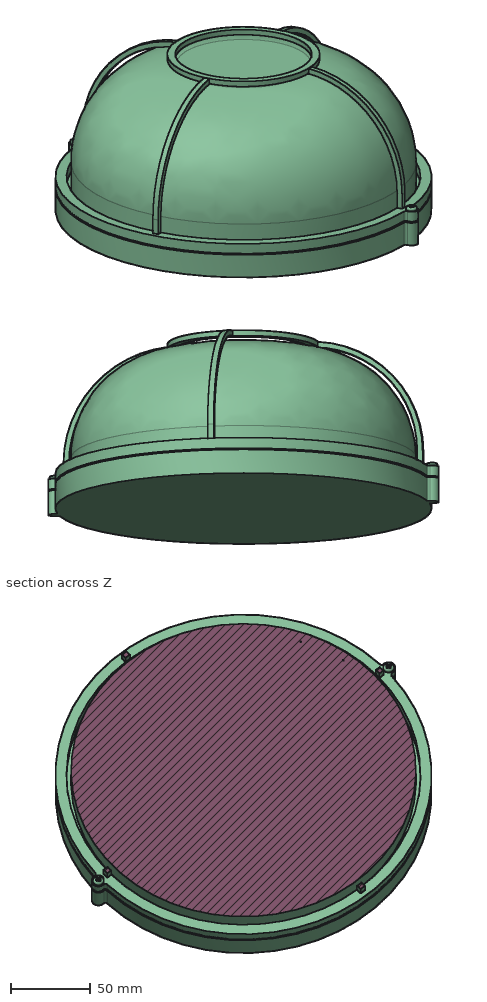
import cadquery as cq
import math

base_radius = 118.5
base_height = 22.8
seam_bottom = 15.2
seam_height = 0.8
seam_depth = 0.8
rim_opening_radius = 111.5
rim_opening_depth = base_height - seam_bottom - seam_height

glass_radius = 108.8
glass_skirt_top = 32.5
glass_arc_radius = 66.5
arc_center_radius = glass_radius - glass_arc_radius

rib_thickness = 3.5
rib_width = 3.8
guard_top = 105.2
rib_outer_arc = guard_top - glass_skirt_top
rib_inner_arc = rib_outer_arc - rib_thickness
ring_inner_radius = 43.0
ring_outer_radius = 48.0
rib_count = 4

overall_length = 250.0
lug_radius = 4.2
lug_center = overall_length / 2 - lug_radius
lug_blend_radius = 1.5
screw_head_radius = 3.5
screw_head_height = 2.2
screw_head_round = 1.5
cross_slot_length = 3.2
cross_slot_width = 1.0
cross_slot_depth = 1.0


def disc(radius, bottom, height):
    return cq.Workplane("XY").workplane(offset=bottom).circle(radius).extrude(height)


def lug_outline(inset):
    """Base circle with two lugs, each blended in by concave arcs, shrunk by inset."""
    body_radius = base_radius - inset
    tip_radius = lug_radius - inset
    blend_radius = lug_blend_radius + inset
    to_body = body_radius + blend_radius
    to_lug = tip_radius + blend_radius
    blend_x = (to_body**2 - to_lug**2 + lug_center**2) / (2 * lug_center)
    blend_y = math.sqrt(to_body**2 - blend_x**2)
    body_x = blend_x * body_radius / to_body
    body_y = blend_y * body_radius / to_body
    lug_x = lug_center + (blend_x - lug_center) * tip_radius / to_lug
    lug_y = blend_y * tip_radius / to_lug
    aim_x = (body_x + lug_x) / 2 - blend_x
    aim_y = (body_y + lug_y) / 2 - blend_y
    aim_length = math.hypot(aim_x, aim_y)
    mid_x = blend_x + aim_x * blend_radius / aim_length
    mid_y = blend_y + aim_y * blend_radius / aim_length
    tip_x = lug_center + tip_radius
    return (
        cq.Workplane("XY")
        .moveTo(body_x, -body_y)
        .threePointArc((mid_x, -mid_y), (lug_x, -lug_y))
        .threePointArc((tip_x, 0), (lug_x, lug_y))
        .threePointArc((mid_x, mid_y), (body_x, body_y))
        .threePointArc((0, body_radius), (-body_x, body_y))
        .threePointArc((-mid_x, mid_y), (-lug_x, lug_y))
        .threePointArc((-tip_x, 0), (-lug_x, -lug_y))
        .threePointArc((-mid_x, -mid_y), (-body_x, -body_y))
        .threePointArc((0, -body_radius), (body_x, -body_y))
        .close()
    )


def make_base():
    core = lug_outline(seam_depth).extrude(base_height)
    outer = lug_outline(0).extrude(base_height)
    seam = disc(overall_length, seam_bottom, seam_height).cut(core)
    opening = disc(rim_opening_radius, base_height - rim_opening_depth, rim_opening_depth)
    return outer.cut(seam).cut(opening)


def make_glass():
    arc_mid = glass_arc_radius * math.sqrt(0.5)
    return (
        cq.Workplane("XZ")
        .lineTo(glass_radius, 0)
        .lineTo(glass_radius, glass_skirt_top)
        .threePointArc(
            (arc_center_radius + arc_mid, glass_skirt_top + arc_mid),
            (arc_center_radius, glass_skirt_top + glass_arc_radius),
        )
        .lineTo(0, glass_skirt_top + glass_arc_radius)
        .close()
        .revolve(360, (0, 0), (0, 1))
    )


def make_rib():
    outer_mid = rib_outer_arc * math.sqrt(0.5)
    inner_mid = rib_inner_arc * math.sqrt(0.5)
    rib_inner = arc_center_radius + rib_inner_arc
    rib_outer = arc_center_radius + rib_outer_arc
    ring_overlap_radius = (ring_inner_radius + ring_outer_radius) / 2
    profile = (
        cq.Workplane("XZ")
        .moveTo(rib_inner, base_height)
        .lineTo(rib_outer, base_height)
        .lineTo(rib_outer, glass_skirt_top)
        .threePointArc(
            (arc_center_radius + outer_mid, glass_skirt_top + outer_mid),
            (arc_center_radius, guard_top),
        )
        .lineTo(arc_center_radius, guard_top - rib_thickness)
        .threePointArc(
            (arc_center_radius + inner_mid, glass_skirt_top + inner_mid),
            (rib_inner, glass_skirt_top),
        )
        .close()
    )
    rib = profile.extrude(rib_width / 2, both=True)
    return rib.cut(disc(ring_overlap_radius, 0, guard_top))


def make_guard():
    ring = disc(ring_outer_radius, guard_top - rib_thickness, rib_thickness)
    guard = ring.cut(disc(ring_inner_radius, 0, guard_top))
    rib = make_rib()
    for index in range(rib_count):
        guard = guard.union(rib.rotate((0, 0, 0), (0, 0, 1), index * 360 / rib_count))
    return guard


def make_screw_head(x):
    head = disc(screw_head_radius, base_height, screw_head_height)
    head = head.faces(">Z").edges().fillet(screw_head_round)
    slot = cq.Workplane("XY").box(cross_slot_length, cross_slot_width, 2 * cross_slot_depth)
    slot = slot.translate((0, 0, base_height + screw_head_height))
    for angle in (0, 90):
        head = head.cut(slot.rotate((0, 0, 0), (0, 0, 1), angle))
    return head.translate((x, 0, 0))


result = make_base().union(make_glass()).union(make_guard())
for side in (-1, 1):
    result = result.union(make_screw_head(side * lug_center))